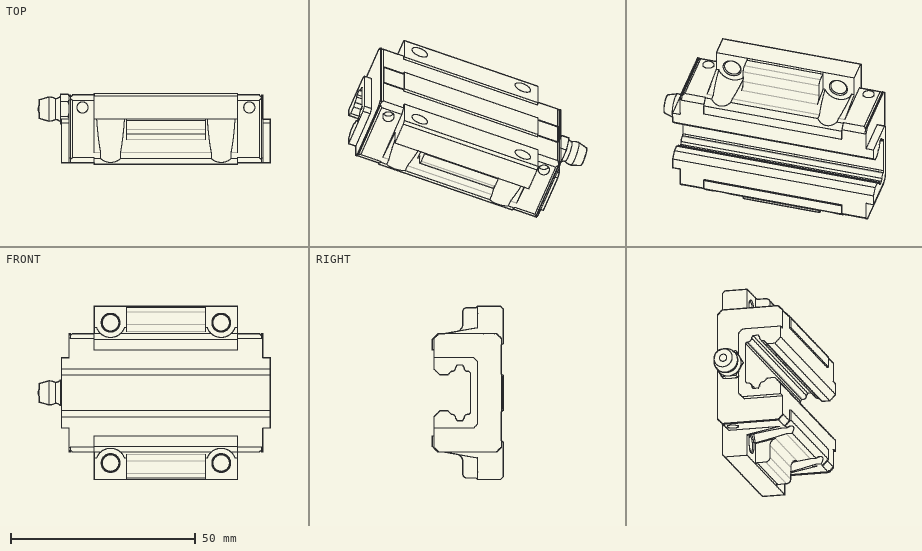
import cadquery as cq
import math


height = 19.3
flange_half_width = 23.5
body_half_width = 16.05

block_half_length = 19.5
cap_half_length = 26.3
seal_half_length = 28.35
nipple_tip_x = -34.65

block_chamfer = 1.6
block_foot_inner_z = 11.65
flange_front_y = 12.3
flange_chamfer = 0.75
wall_foot_y = 3.2
wall_angle = math.radians(10)
wall_slope = math.tan(wall_angle)
pad_half_width = 4.7
flange_pad_inner_z = 13.35
relief_side_run = 0.4

rib_half_length = 10.7
rib_front_y = 8.25
rib_chamfer = 0.4
rib_edge_radius = 1.2
rib_root_radius = 1.9

hole_x = 15.0
hole_z = 19.0
hole_diameter = 4.5
hole_mouth_diameter = 5.1
clearance_diameter = 8.0

cap_front_y = 0.45
cap_back_y = 18.8
cap_chamfer = 1.4
land_chamfer = 1.25
cap_pad_half_width = 4.4
cap_pad_height = 0.2
groove_start_x = 25.3
groove_wall_x = 25.9
groove_depth = 0.5
plug_hole_x = 22.6
plug_hole_y = 15.45
plug_hole_diameter = 3.0
plug_hole_depth = 3.0

seal_half_width = 9.6
seal_back_y = flange_front_y
seal_chamfer = 1.1

passage_roof_y = 10.35
passage_roof_half_width = 5.4
passage_half_width = 5.8
race_center_y = 7.5
race_center_offset = 2.15
race_lip_radius = 1.0
race_floor_half_width = 0.75
race_floor_z = 7.5
foot_half_gap = 4.85
foot_back_y = 4.2
foot_front_y = 2.1

nipple_y = 15.0
hex_flats = 7.0
hex_front_x = -28.6
hex_corner_chamfer = 0.25
hex_back_diameter = 7.3
ball_diameter = 2.0
ball_projection = 0.3
tip_diameter = 5.1
bulge_diameter = 6.6
bulge_x = -31.75
neck_diameter = 5.7
neck_x = -29.9
bulge_radius = 3.3
flare_radius = 1.9


def mirrored(half):
    """Close a (y, z) half outline by mirroring it about Z = 0."""
    return half + [(y, -z) for y, z in reversed(half)]


def prism(points, half_length):
    """Extrude a (y, z) outline along X, centred on X = 0."""
    return cq.Workplane("YZ").polyline(points).close().extrude(half_length, both=True)


def wall_z(y):
    """Z of the sloping side wall at a given Y."""
    return body_half_width + (y - wall_foot_y) * wall_slope


def make_block():
    half = [
        (cap_front_y, block_foot_inner_z),
        (0, block_foot_inner_z),
        (0, body_half_width - block_chamfer),
        (block_chamfer, body_half_width),
        (wall_foot_y, body_half_width),
        (flange_front_y, wall_z(flange_front_y)),
        (flange_front_y, flange_half_width),
        (height - flange_chamfer, flange_half_width),
        (height, flange_half_width - flange_chamfer),
        (height, flange_pad_inner_z),
        (cap_back_y, flange_pad_inner_z - relief_side_run),
        (cap_back_y, pad_half_width + relief_side_run),
        (height, pad_half_width),
    ]
    return prism(mirrored(half), block_half_length)


def make_rib():
    """Rib under the +Z flange, blended into the sloping wall."""
    rib_top_z = flange_half_width - rib_chamfer
    turn = math.pi / 2 - wall_angle
    root_center_y = rib_front_y - rib_root_radius
    root_end_y = root_center_y + rib_root_radius * math.cos(turn)
    root_end_z = wall_z(root_end_y)
    root_start_z = root_end_z + rib_root_radius * math.sin(turn)
    root_mid = (
        root_center_y + rib_root_radius * math.cos(turn / 2),
        root_start_z - rib_root_radius * math.sin(turn / 2),
    )
    return (
        cq.Workplane("YZ")
        .moveTo(flange_front_y, body_half_width)
        .lineTo(flange_front_y, flange_half_width)
        .lineTo(flange_front_y - rib_chamfer, rib_top_z)
        .lineTo(rib_front_y + rib_edge_radius, rib_top_z)
        .radiusArc((rib_front_y, rib_top_z - rib_edge_radius), -rib_edge_radius)
        .lineTo(rib_front_y, root_start_z)
        .threePointArc(root_mid, (root_end_y, root_end_z))
        .lineTo(root_end_y, body_half_width)
        .close()
        .extrude(rib_half_length, both=True)
    )


def mounting_hole_tool(x, z):
    """Through hole with a chamfered mouth and a clearance scallop in front of the flange."""
    mouth_depth = (hole_mouth_diameter - hole_diameter) / 2
    half_section = [
        (0, 0),
        (clearance_diameter / 2, 0),
        (clearance_diameter / 2, flange_front_y),
        (hole_mouth_diameter / 2, flange_front_y),
        (hole_diameter / 2, flange_front_y + mouth_depth),
        (hole_diameter / 2, height),
        (0, height),
    ]
    tool = cq.Workplane("XY").polyline(half_section).close().revolve(360, (0, 0, 0), (0, 1, 0))
    return tool.translate((x, 0, z))


def cap_outline(chamfer, inset=0.0):
    """Chamfered cap outline; the inset pulls in the sides and the back but leaves the chamfer planes."""
    side_z = body_half_width - inset
    back_y = cap_back_y - inset
    return mirrored([
        (cap_front_y, body_half_width - chamfer),
        (cap_front_y + chamfer - inset, side_z),
        (cap_back_y - chamfer + inset, side_z),
        (back_y, body_half_width - chamfer + inset),
    ])


def make_end_cap():
    """Cap at the +X end, with a V groove around its sides and back."""
    main = cq.Workplane("YZ").polyline(cap_outline(cap_chamfer)).close().extrude(groove_start_x)
    groove = (
        cq.Workplane("YZ", origin=(groove_start_x, 0, 0))
        .polyline(cap_outline(cap_chamfer))
        .close()
        .workplane(offset=groove_wall_x - groove_start_x)
        .polyline(cap_outline(cap_chamfer, groove_depth))
        .close()
        .loft(ruled=True)
    )
    land = (
        cq.Workplane("YZ", origin=(groove_wall_x, 0, 0))
        .polyline(cap_outline(land_chamfer))
        .close()
        .extrude(cap_half_length - groove_wall_x)
    )
    pad = (
        cq.Workplane("XY")
        .box(groove_start_x, 2 * cap_pad_height, 2 * cap_pad_half_width, centered=(False, True, True))
        .translate((0, cap_back_y, 0))
    )
    return main.union(groove).union(land).union(pad)


def plug_hole_tool(x):
    """Blind hole in the +Z side of a cap."""
    return (
        cq.Workplane("XY", origin=(x, plug_hole_y, body_half_width))
        .circle(plug_hole_diameter / 2)
        .extrude(-plug_hole_depth)
    )


def make_seal():
    """Bar of the seal section, showing as a lip beyond both caps."""
    return prism(mirrored([
        (cap_front_y, seal_half_width),
        (seal_back_y - seal_chamfer, seal_half_width),
        (seal_back_y, seal_half_width - seal_chamfer),
    ]), seal_half_length)


def make_passage_half():
    """Half (Z > 0) of the rail passage, with its ball-race relief."""
    race_edge_z = passage_half_width + race_lip_radius
    upper_lip_y = race_center_y + race_center_offset
    lower_lip_y = race_center_y - race_center_offset
    front_z = foot_half_gap + foot_front_y - cap_front_y
    return (
        cq.Workplane("YZ")
        .moveTo(0, 0)
        .lineTo(passage_roof_y, 0)
        .lineTo(passage_roof_y, passage_roof_half_width)
        .lineTo(passage_roof_y - (passage_half_width - passage_roof_half_width), passage_half_width)
        .lineTo(upper_lip_y, passage_half_width)
        .radiusArc((upper_lip_y - race_lip_radius, race_edge_z), race_lip_radius)
        .lineTo(race_center_y + race_floor_half_width, race_floor_z)
        .lineTo(race_center_y - race_floor_half_width, race_floor_z)
        .lineTo(lower_lip_y + race_lip_radius, race_edge_z)
        .radiusArc((lower_lip_y, passage_half_width), race_lip_radius)
        .lineTo(foot_back_y + passage_half_width - foot_half_gap, passage_half_width)
        .lineTo(foot_back_y, foot_half_gap)
        .lineTo(foot_front_y, foot_half_gap)
        .lineTo(cap_front_y, front_z)
        .lineTo(0, front_z)
        .close()
        .extrude(seal_half_length, both=True)
    )


def make_hex():
    """Plain hexagon prism with corners along Y, from the cap face to the hexagon front."""
    return (
        cq.Workplane("YZ", origin=(-cap_half_length, nipple_y, 0))
        .polygon(6, hex_flats / math.cos(math.pi / 6))
        .extrude(hex_front_x + cap_half_length)
    )


def make_carriage():
    carriage = make_block().union(make_seal())
    rib = make_rib()
    carriage = carriage.union(rib).union(rib.mirror("XY"))
    cap = make_end_cap()
    carriage = carriage.union(cap).union(cap.mirror("YZ"))

    passage = make_passage_half()
    carriage = carriage.cut(passage).cut(passage.mirror("XY"))
    for x in (-hole_x, hole_x):
        for z in (-hole_z, hole_z):
            carriage = carriage.cut(mounting_hole_tool(x, z))
    for x in (-plug_hole_x, plug_hole_x):
        plug_hole = plug_hole_tool(x)
        carriage = carriage.cut(plug_hole).cut(plug_hole.mirror("XY"))

    return carriage.cut(make_hex())


def make_nipple():
    """Grease nipple: a hexagon with corners chamfered on the cap side, and a turned head in front of it."""
    corner_radius = hex_flats / 2 / math.cos(math.pi / 6)
    back_radius = hex_back_diameter / 2
    envelope = (
        cq.Workplane("XY")
        .moveTo(-cap_half_length, 0)
        .lineTo(-cap_half_length, back_radius)
        .lineTo(-cap_half_length - hex_corner_chamfer, corner_radius)
        .lineTo(hex_front_x, corner_radius)
        .lineTo(hex_front_x, 0)
        .close()
        .revolve(360, (0, 0, 0), (1, 0, 0))
        .translate((0, nipple_y, 0))
    )
    head_front_x = nipple_tip_x + ball_projection
    ball_radius = ((ball_diameter / 2) ** 2 + ball_projection**2) / (2 * ball_projection)
    head = (
        cq.Workplane("XY")
        .moveTo(nipple_tip_x, 0)
        .radiusArc((head_front_x, ball_diameter / 2), ball_radius)
        .lineTo(head_front_x, tip_diameter / 2)
        .lineTo(bulge_x, bulge_diameter / 2)
        .radiusArc((neck_x, neck_diameter / 2), bulge_radius)
        .radiusArc((hex_front_x, hex_flats / 2), -flare_radius)
        .lineTo(hex_front_x, 0)
        .close()
        .revolve(360, (0, 0, 0), (1, 0, 0))
        .translate((0, nipple_y, 0))
    )
    return make_hex().intersect(envelope).union(head)


carriage = make_carriage()
nipple = make_nipple()
result = cq.Compound.makeCompound([carriage.val(), nipple.val()])